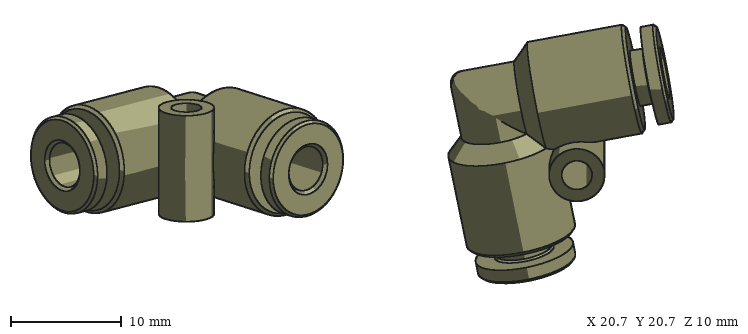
import cadquery as cq

overall = 20.7
body_diameter = 10.0
body_radius = body_diameter / 2
leg_length = overall - body_radius

elbow_radius = 3.5
shoulder_start = 2.5
shoulder_end = shoulder_start + body_radius - elbow_radius
corner_fillet = 1.04

body_end = 12.98
body_chamfer = 0.31
neck_radius = 2.55
neck_flare = 0.19
flange_radius = 4.5
flange_thickness = 1.39
flange_chamfer = 0.25
flange_start = leg_length - flange_thickness

socket_radius = 2.05
socket_chamfer = 0.31
socket_bottom = 4.02
passage_radius = 1.51

boss_offset = 6.38
boss_radius = 2.5
boss_hole_radius = 1.37


def revolve_about_x(points):
    """Turn an outline of (position along X, radius) points about the X axis."""
    return cq.Workplane("XY").polyline(points).close().revolve(360, (0, 0, 0), (1, 0, 0))


def second_leg(shape):
    """Mirror a shape of the X leg across the mitre plane onto the -Y leg."""
    return shape.mirror("XZ").rotate((0, 0, 0), (0, 0, 1), -90)


def make_mitred_stubs(radius, profile):
    """Round stubs along both legs, limited to a flat profile of the X leg that ends on the mitre plane."""
    stub = cq.Workplane("YZ").circle(radius).extrude(shoulder_start + radius).translate((-radius, 0, 0))
    half = stub.intersect(cq.Workplane("XY").polyline(profile).close().extrude(radius, both=True))
    return half.union(second_leg(half))


def make_elbow():
    """Mitred elbow; the mitre edge is rounded on its outer side only."""
    radius = elbow_radius
    end = shoulder_start
    outer_side = make_mitred_stubs(radius, [(0, 0), (-radius, radius), (end, radius), (end, 0)])
    inner_side = make_mitred_stubs(radius, [(0, 0), (end, 0), (end, -end)])
    rounded_side = outer_side.edges(cq.selectors.DirectionMinMaxSelector(cq.Vector(-1, 1, 0), True))
    return rounded_side.fillet(corner_fillet).union(inner_side)


def make_leg():
    """Shoulder, body and release collar of the X leg."""
    return revolve_about_x([
        (shoulder_start, 0),
        (shoulder_start, elbow_radius),
        (shoulder_end, body_radius),
        (body_end - body_chamfer, body_radius),
        (body_end, body_radius - body_chamfer),
        (body_end, neck_radius),
        (flange_start - neck_flare, neck_radius),
        (flange_start, neck_radius + neck_flare),
        (flange_start, flange_radius),
        (leg_length - flange_chamfer, flange_radius),
        (leg_length, flange_radius - flange_chamfer),
        (leg_length, 0),
    ])


def make_socket():
    """Chamfered tube socket of the X leg."""
    return revolve_about_x([
        (shoulder_start, 0),
        (shoulder_start, passage_radius),
        (socket_bottom, passage_radius),
        (socket_bottom, socket_radius),
        (leg_length - socket_chamfer, socket_radius),
        (leg_length, socket_radius + socket_chamfer),
        (leg_length, 0),
    ])


def make_passage():
    """Mitred flow passage that joins the two sockets."""
    corner = passage_radius
    end = shoulder_start
    return make_mitred_stubs(corner, [(-corner, corner), (end, corner), (end, -end)])


def make_boss_cylinder(radius):
    """Full-height cylinder on the axis of the mounting boss."""
    return (
        cq.Workplane("XY")
        .center(boss_offset, -boss_offset)
        .circle(radius)
        .extrude(body_radius, both=True)
    )


leg = make_leg()
socket = make_socket()

result = (
    make_elbow()
    .union(leg)
    .union(second_leg(leg))
    .union(make_boss_cylinder(boss_radius))
    .cut(socket)
    .cut(second_leg(socket))
    .cut(make_passage())
    .cut(make_boss_cylinder(boss_hole_radius))
)